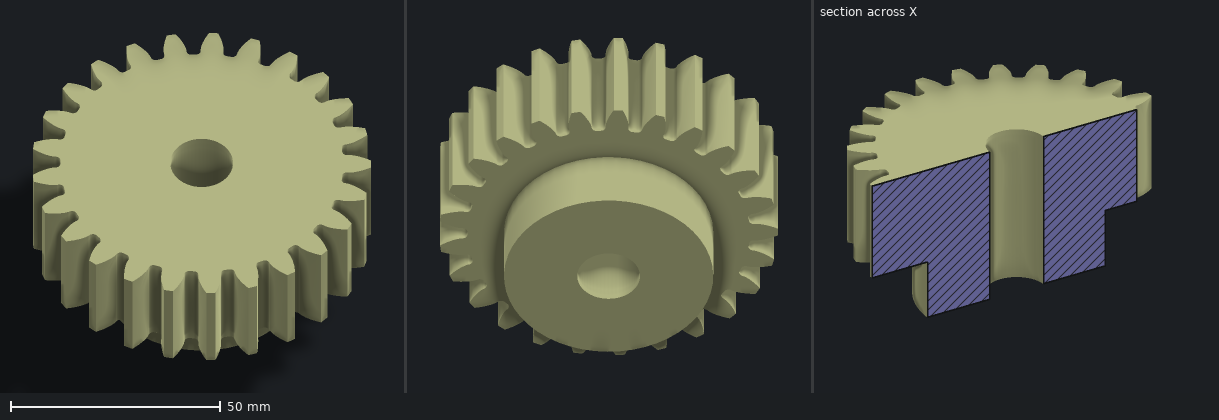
import cadquery as cq
import math

module = 3.0
tooth_count = 25
pressure_angle = math.radians(20)
face_width = 25.0
addendum = module
dedendum = 1.25 * module
root_fillet = 0.38 * module
flank_points = 6
first_tooth_angle = -math.pi / 2

hub_diameter = 50.0
hub_length = 15.0
bore_diameter = 15.0

pitch_radius = module * tooth_count / 2
tip_radius = pitch_radius + addendum
root_radius = pitch_radius - dedendum
base_radius = pitch_radius * math.cos(pressure_angle)
tooth_pitch = 2 * math.pi / tooth_count


def involute(angle):
    return math.tan(angle) - angle


def polar(radius, angle):
    return (radius * math.cos(angle), radius * math.sin(angle))


base_half_angle = tooth_pitch / 4 + involute(pressure_angle)

fillet_centre_radius = root_radius + root_fillet
fillet_angle = math.asin(root_fillet / fillet_centre_radius)
fillet_top_radius = fillet_centre_radius * math.cos(fillet_angle)
root_half_angle = base_half_angle + fillet_angle


def flank_half_angle(radius):
    """Half the angle a tooth covers at a radius on its involute flank."""
    return base_half_angle - involute(math.acos(base_radius / radius))


def flank(centre, side):
    """Points on one involute flank, from base circle to tip; side is -1 or +1."""
    step = (tip_radius - base_radius) / (flank_points - 1)
    radii = [base_radius + i * step for i in range(flank_points)]
    return [polar(r, centre + side * flank_half_angle(r)) for r in radii]


def fillet_middle(centre, side):
    """Point halfway round the root fillet on one side of a tooth."""
    fillet_x, fillet_y = polar(fillet_centre_radius, centre + side * root_half_angle)
    toward_tooth = centre + side * (base_half_angle - math.pi / 2)
    toward_axis = centre + side * root_half_angle + math.pi
    toward_axis_x, toward_axis_y = polar(1, toward_axis)
    toward_tooth_x, toward_tooth_y = polar(1, toward_tooth)
    middle = math.atan2(toward_axis_y + toward_tooth_y, toward_axis_x + toward_tooth_x)
    offset_x, offset_y = polar(root_fillet, middle)
    return (fillet_x + offset_x, fillet_y + offset_y)


def add_tooth(outline, centre):
    """Add one tooth and the root land after it, going counterclockwise."""
    rising = flank(centre, -1)
    falling = flank(centre, 1)[::-1]
    next_centre = centre + tooth_pitch
    return (
        outline
        .threePointArc(fillet_middle(centre, -1), polar(fillet_top_radius, centre - base_half_angle))
        .lineTo(*rising[0])
        .spline(rising[1:], includeCurrent=True)
        .threePointArc(polar(tip_radius, centre), falling[0])
        .spline(falling[1:], includeCurrent=True)
        .lineTo(*polar(fillet_top_radius, centre + base_half_angle))
        .threePointArc(fillet_middle(centre, 1), polar(root_radius, centre + root_half_angle))
        .threePointArc(
            polar(root_radius, centre + tooth_pitch / 2),
            polar(root_radius, next_centre - root_half_angle),
        )
    )


def make_gear():
    start = polar(root_radius, first_tooth_angle - root_half_angle)
    outline = cq.Workplane("XY").workplane(offset=hub_length).moveTo(*start)
    for tooth in range(tooth_count):
        outline = add_tooth(outline, first_tooth_angle + tooth * tooth_pitch)
    return outline.close().extrude(face_width)


def make_hub():
    return cq.Workplane("XY").circle(hub_diameter / 2).extrude(hub_length)


def make_bore():
    return cq.Workplane("XY").circle(bore_diameter / 2).extrude(hub_length + face_width)


result = make_gear().union(make_hub()).cut(make_bore())